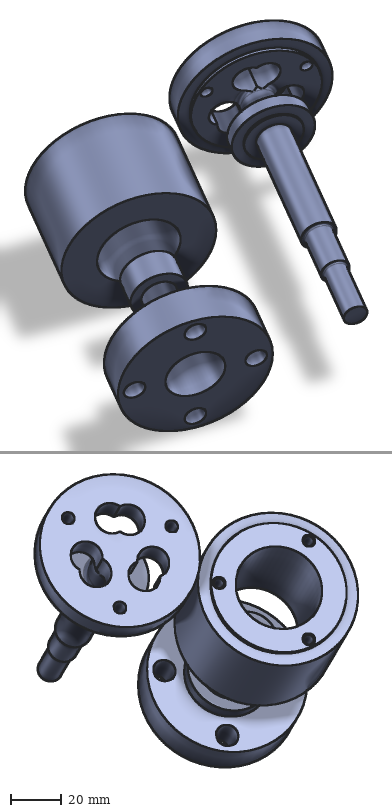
import cadquery as cq
import math

total_length = 140.0
axis_spacing = 70.0
body_diameter = 65.0
rim_diameter = 54.9
fit_diameter = 35.0
shaft_axis_y = axis_spacing / 2
housing_axis_y = -axis_spacing / 2

plate_thickness = 10.2
rim_height = 1.7
rim_face = plate_thickness + rim_height
shaft_diameter = 15.0
collar_start = 26.7
collar_end = 32.3
shoulder_end = 33.0
shoulder_diameter = 25.0
shaft_end = 87.4
neck_diameter = 12.0
neck_end = 107.2
tip_diameter = 10.0
tip_end = 131.7
plate_fillet = 2.1
collar_fillet = 1.5
step_fillet = 0.5

slot_count = 3
slot_circle_radius = 14.0
slot_hole_diameter = 12.9
slot_half_angle = 15.0

screw_count = 3
screw_circle_radius = 24.2
screw_diameter = 5.0
tap_drill_diameter = 4.2
tapped_hole_depth = 15.0
drill_point_angle = 118.0

housing_start = 25.8
housing_end = 71.5

bushing_start = 83.6
bushing_end = 96.2
bushing_diameter = 24.1
bushing_bore = shaft_diameter

flange_boss_start = 116.0
flange_start = 122.9
flange_bore = shoulder_diameter
flange_hole_count = 4
flange_hole_circle_radius = 25.5
flange_hole_diameter = 9.0


def cylinder(start, end, diameter, center_y):
    """Cylinder along X from start to end, on the axis at center_y."""
    return cq.Workplane("YZ", origin=(start, center_y, 0)).circle(diameter / 2).extrude(end - start)


def polar_points(radius, angles):
    """Points on a circle in the YZ plane, with angles in degrees from +Y towards +Z."""
    return [
        (radius * math.cos(math.radians(angle)), radius * math.sin(math.radians(angle)))
        for angle in angles
    ]


def even_angles(count, first_angle):
    return [first_angle + 360.0 * index / count for index in range(count)]


def holes(start, end, diameter, center_y, points):
    """Round cutters along X at the given points around the axis at center_y."""
    plane = cq.Workplane("YZ", origin=(start, center_y, 0))
    return plane.pushPoints(points).circle(diameter / 2).extrude(end - start)


def stepped_shaft_outline():
    """Half section of the plate and shaft, with concave fillets in the root corners."""
    body_radius = body_diameter / 2
    rim_radius = rim_diameter / 2
    shaft_radius = shaft_diameter / 2
    neck_radius = neck_diameter / 2
    tip_radius = tip_diameter / 2
    return (
        cq.Workplane("XY")
        .moveTo(0, 0)
        .lineTo(0, body_radius)
        .lineTo(plate_thickness, body_radius)
        .lineTo(plate_thickness, rim_radius)
        .lineTo(rim_face, rim_radius)
        .lineTo(rim_face, shaft_radius + plate_fillet)
        .radiusArc((rim_face + plate_fillet, shaft_radius), -plate_fillet)
        .lineTo(collar_start - collar_fillet, shaft_radius)
        .radiusArc((collar_start, shaft_radius + collar_fillet), -collar_fillet)
        .lineTo(collar_start, fit_diameter / 2)
        .lineTo(collar_end, fit_diameter / 2)
        .lineTo(collar_end, shoulder_diameter / 2)
        .lineTo(shoulder_end, shoulder_diameter / 2)
        .lineTo(shoulder_end, shaft_radius)
        .lineTo(shaft_end, shaft_radius)
        .lineTo(shaft_end, neck_radius + step_fillet)
        .radiusArc((shaft_end + step_fillet, neck_radius), -step_fillet)
        .lineTo(neck_end, neck_radius)
        .lineTo(neck_end, tip_radius + step_fillet)
        .radiusArc((neck_end + step_fillet, tip_radius), -step_fillet)
        .lineTo(tip_end, tip_radius)
        .lineTo(tip_end, 0)
        .close()
    )


def make_shaft():
    """Mounting plate and stepped shaft in one piece."""
    shaft = stepped_shaft_outline().revolve(360, (0, 0, 0), (1, 0, 0))
    shaft = shaft.translate((0, shaft_axis_y, 0))

    slot_end = rim_face + plate_fillet
    slot_middles = even_angles(slot_count, 90.0)
    for side in (-1, 1):
        angles = [middle + side * slot_half_angle for middle in slot_middles]
        points = polar_points(slot_circle_radius, angles)
        shaft = shaft.cut(holes(0, slot_end, slot_hole_diameter, shaft_axis_y, points))

    screw_points = polar_points(screw_circle_radius, even_angles(screw_count, -90.0))
    return shaft.cut(holes(0, rim_face, screw_diameter, shaft_axis_y, screw_points))


def tapped_hole(y, z):
    """Blind hole in the housing face, with a 45 degree countersunk mouth and a conical bottom."""
    mouth_radius = screw_diameter / 2
    radius = tap_drill_diameter / 2
    point_depth = radius / math.tan(math.radians(drill_point_angle / 2))
    profile = (
        cq.Workplane("XY")
        .moveTo(0, 0)
        .lineTo(0, mouth_radius)
        .lineTo(mouth_radius - radius, radius)
        .lineTo(tapped_hole_depth, radius)
        .lineTo(tapped_hole_depth + point_depth, 0)
        .close()
    )
    hole = profile.revolve(360, (0, 0, 0), (1, 0, 0))
    return hole.translate((housing_start, housing_axis_y + y, z))


def make_housing():
    """Thick sleeve with a locating rim and blind tapped holes at its -X end."""
    housing = cylinder(housing_start + rim_height, housing_end, body_diameter, housing_axis_y)
    housing = housing.union(cylinder(housing_start, housing_end, rim_diameter, housing_axis_y))
    housing = housing.cut(cylinder(housing_start, housing_end, fit_diameter, housing_axis_y))
    for y, z in polar_points(screw_circle_radius, even_angles(screw_count, 0.0)):
        housing = housing.cut(tapped_hole(y, z))
    return housing


def make_bushing():
    """Plain ring that fits the shaft."""
    bushing = cylinder(bushing_start, bushing_end, bushing_diameter, housing_axis_y)
    return bushing.cut(cylinder(bushing_start, bushing_end, bushing_bore, housing_axis_y))


def make_end_flange():
    """Disc with a locating boss, a through bore and a ring of bolt holes."""
    flange = cylinder(flange_start, total_length, body_diameter, housing_axis_y)
    flange = flange.union(cylinder(flange_boss_start, total_length, fit_diameter, housing_axis_y))
    flange = flange.cut(cylinder(flange_boss_start, total_length, flange_bore, housing_axis_y))
    points = polar_points(flange_hole_circle_radius, even_angles(flange_hole_count, 0.0))
    return flange.cut(
        holes(flange_start, total_length, flange_hole_diameter, housing_axis_y, points)
    )


shaft = make_shaft()
housing = make_housing()
bushing = make_bushing()
end_flange = make_end_flange()

result = cq.Compound.makeCompound(
    [shaft.val(), housing.val(), bushing.val(), end_flange.val()]
)